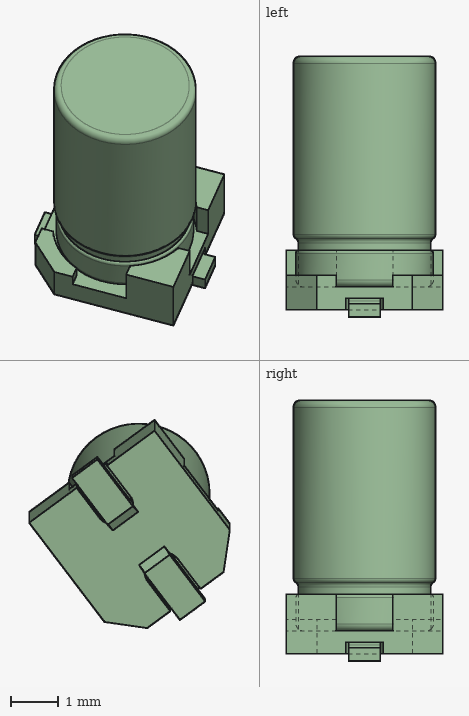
import cadquery as cq
import math

total_height = 5.5

base_side = 3.3
base_chamfer = 0.645
base_bottom = 0.155
seat_level = 0.645
low_corner_top = 0.885
high_corner_top = 1.415
notch_width = 1.195
seat_diameter = 3.035

shoulder_angle = 60
can_diameter = 3.0
groove_diameter = 2.8
foot_diameter = 2.9
edge_fillet = 0.15
shoulder_bottom = 1.575
foot_straight_top = 1.34
foot_rounding_top = 1.415

lead_span = 3.8
lead_width = 0.665
lead_thickness = 0.285
bend_inner_radius = 0.06
heel_length = 0.185
lead_inner_end = 0.46
recess_width = 0.8
recess_top = 0.4


def prism(length, width, bottom, top):
    """Box centred on the Z axis between two levels."""
    return cq.Workplane("XY").workplane(offset=bottom).rect(length, width).extrude(top - bottom)


def make_base():
    """Square base with two chamfered low corners, two high corners, side notches and a round seat."""
    half = base_side / 2
    high_corners = prism(half, base_side, base_bottom, high_corner_top).translate((half / 2, 0, 0))
    base = prism(base_side, base_side, base_bottom, low_corner_top).edges("|Z and <X").chamfer(base_chamfer)
    base = base.union(high_corners)
    base = base.cut(prism(base_side, notch_width, seat_level, high_corner_top))
    base = base.cut(prism(notch_width, base_side, seat_level, high_corner_top))
    seat_height = high_corner_top - seat_level
    seat = cq.Workplane("XY").workplane(offset=seat_level).circle(seat_diameter / 2).extrude(seat_height)
    return base.cut(seat)


def make_can():
    """Revolved can with rounded rims and a straight groove above its foot."""
    wall = can_diameter / 2
    groove = groove_diameter / 2
    foot = foot_diameter / 2

    shoulder_depth = wall - groove
    bend_angle = math.radians(shoulder_angle)
    shoulder_radius = shoulder_depth / (2 * (1 - math.cos(bend_angle)))
    shoulder_half_height = shoulder_radius * math.sin(bend_angle)
    shoulder_middle = shoulder_bottom + shoulder_half_height
    shoulder_top = shoulder_middle + shoulder_half_height

    rounding_height = foot_rounding_top - foot_straight_top
    rounding_depth = foot - groove
    rounding_radius = (rounding_height**2 + rounding_depth**2) / (2 * rounding_depth)

    profile = (
        cq.Workplane("XZ")
        .moveTo(0, seat_level)
        .lineTo(foot - edge_fillet, seat_level)
        .radiusArc((foot, seat_level + edge_fillet), -edge_fillet)
        .lineTo(foot, foot_straight_top)
        .radiusArc((groove, foot_rounding_top), -rounding_radius)
        .lineTo(groove, shoulder_bottom)
        .radiusArc((groove + shoulder_depth / 2, shoulder_middle), shoulder_radius)
        .radiusArc((wall, shoulder_top), -shoulder_radius)
        .lineTo(wall, total_height - edge_fillet)
        .radiusArc((wall - edge_fillet, total_height), -edge_fillet)
        .lineTo(0, total_height)
        .close()
    )
    return profile.revolve(360, (0, 0, 0), (0, 1, 0))


def make_recess():
    """Slot on the underside of the +X side, open to the outside, with a round inner end behind the lead."""
    round_center = lead_inner_end + recess_width / 2
    height = recess_top - base_bottom
    length = base_side / 2 - round_center
    plane = cq.Workplane("XY").workplane(offset=base_bottom)
    straight = plane.center(round_center + length / 2, 0).rect(length, recess_width).extrude(height)
    return straight.union(plane.center(round_center, 0).circle(recess_width / 2).extrude(height))


def make_lead():
    """Flat lead on the +X side that slants at its heel and bends up into the roof of its recess."""
    tip = lead_span / 2
    upright_front = lead_inner_end + lead_thickness
    outline = (
        cq.Workplane("XZ")
        .moveTo(tip, 0)
        .lineTo(lead_inner_end + heel_length, 0)
        .lineTo(lead_inner_end, base_bottom)
        .lineTo(lead_inner_end, recess_top)
        .lineTo(upright_front, recess_top)
        .lineTo(upright_front, lead_thickness + bend_inner_radius)
        .radiusArc((upright_front + bend_inner_radius, lead_thickness), -bend_inner_radius)
        .lineTo(tip, lead_thickness)
        .close()
    )
    return outline.extrude(lead_width / 2, both=True)


def turned(shape, angle):
    """Shape turned about the Z axis by an angle in degrees."""
    return shape.rotate((0, 0, 0), (0, 0, 1), angle)


result = make_base()
for angle in (0, 180):
    result = result.cut(turned(make_recess(), angle))
    result = result.union(turned(make_lead(), angle))
result = result.union(make_can())